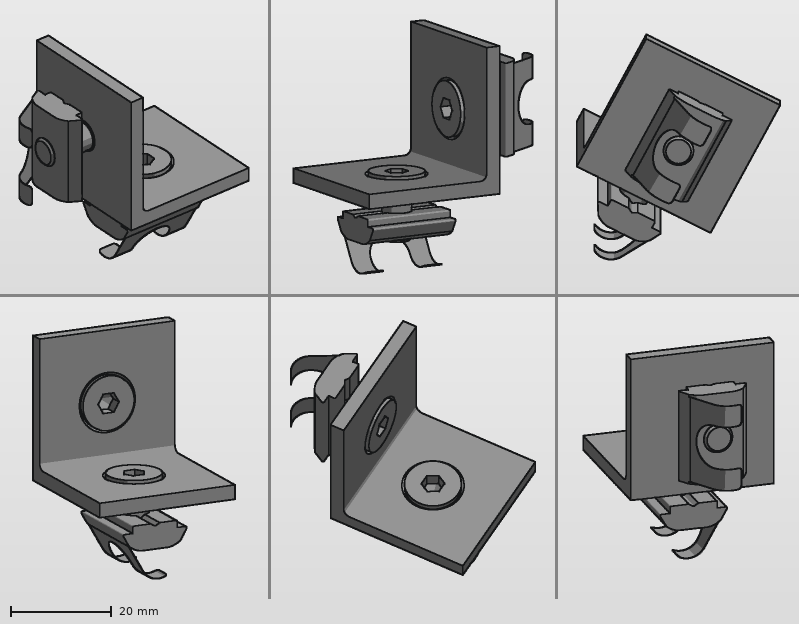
import cadquery as cq
import math

bracket_size = 30.0
leg_thickness = 3.0
inner_fillet = 1.5
leg_middle = bracket_size / 2

clearance_diameter = 6.6
countersink_diameter = 12.4
countersink_angle = 90.0

thread_diameter = 6.0
screw_length = 14.0
head_diameter = 11.34
head_protrusion = 0.58
head_cone_diameter = 13.44
tip_diameter = 5.0
hex_across_flats = 4.0
hex_depth = 2.5
socket_cone_angle = 120.0

thread_radius = thread_diameter / 2
head_radius = head_diameter / 2
tip_chamfer = (thread_diameter - tip_diameter) / 2
head_top = leg_thickness + head_protrusion
head_cylinder_height = (head_cone_diameter - head_diameter) / 2
head_height = (head_cone_diameter - thread_diameter) / 2

nut_length = 19.0
nut_top = -4.45
neck_height = 1.5
nut_shoulder = nut_top - neck_height
nut_bottom = -9.8
neck_half_width = 4.95
neck_fillet = 0.3
flange_half_width = 7.25
flange_fillet = 0.3
flank_angle = math.radians(60.0)
flank_end = -8.6
bottom_flat_half_width = 3.0
bottom_arc_radius = 5.0
groove_half_width = 1.0
groove_depth = 0.6
groove_fillet = 0.3

spring_length = 18.0
spring_thickness = 0.1
spring_start = -6.5
spring_bottom = -16.19
spring_curl_radius = 4.0
spring_end_x = -3.0
spring_gap = 9.0
spring_tip_fillet = 0.8


def flank_x(z):
    """Half width of the nut flank at height z."""
    return flange_half_width - (nut_shoulder - z) / math.tan(flank_angle)


def turn_to_wall(body):
    """Copy by a half turn about the bisector of the legs: swaps Y with Z and reverses X."""
    return body.rotate((0, 0, 0), (0, 1, 1), 180)


def make_bracket():
    leg = cq.Workplane("XY").box(
        bracket_size, bracket_size, leg_thickness, centered=(True, False, False)
    )
    angle = leg.union(turn_to_wall(leg))
    inner_corner = cq.NearestToPointSelector((0, leg_thickness, leg_thickness))
    angle = angle.edges("|X").edges(inner_corner).fillet(inner_fillet)
    hole = make_screw_hole()
    return angle.cut(hole).cut(turn_to_wall(hole))


def make_screw_hole():
    """Clearance hole with a countersink on the inner face of the lower leg."""
    sink_radius = countersink_diameter / 2
    hole_radius = clearance_diameter / 2
    sink_depth = (sink_radius - hole_radius) / math.tan(math.radians(countersink_angle / 2))
    hole = (
        cq.Workplane("XZ")
        .moveTo(0, 0)
        .lineTo(hole_radius, 0)
        .lineTo(hole_radius, leg_thickness - sink_depth)
        .lineTo(sink_radius, leg_thickness)
        .lineTo(0, leg_thickness)
        .close()
        .revolve(360, (0, 0, 0), (0, 1, 0))
    )
    return hole.translate((0, leg_middle, 0))


def make_screw():
    tip = head_top - screw_length
    screw = (
        cq.Workplane("XZ")
        .moveTo(0, head_top)
        .lineTo(head_radius, head_top)
        .lineTo(head_radius, head_top - head_cylinder_height)
        .lineTo(thread_radius, head_top - head_height)
        .lineTo(thread_radius, tip + tip_chamfer)
        .lineTo(tip_diameter / 2, tip)
        .lineTo(0, tip)
        .close()
        .revolve(360, (0, 0, 0), (0, 1, 0))
    )
    return screw.cut(make_socket()).translate((0, leg_middle, 0))


def make_socket():
    """Hexagonal socket with a conical bottom."""
    across_corners = hex_across_flats / math.cos(math.pi / 6)
    corner_radius = across_corners / 2
    cone_depth = corner_radius / math.tan(math.radians(socket_cone_angle / 2))
    hexagon = (
        cq.Workplane("XY", origin=(0, 0, head_top))
        .polygon(6, across_corners)
        .extrude(-hex_depth - cone_depth)
    )
    drill = (
        cq.Workplane("XZ", origin=(0, 0, head_top))
        .moveTo(0, 0)
        .lineTo(corner_radius, 0)
        .lineTo(corner_radius, -hex_depth)
        .lineTo(0, -hex_depth - cone_depth)
        .close()
        .revolve(360, (0, 0, 0), (0, 1, 0))
    )
    return hexagon.intersect(drill)


def make_nut_block():
    block = (
        cq.Workplane("XZ")
        .moveTo(groove_half_width, nut_top)
        .lineTo(neck_half_width, nut_top)
        .lineTo(neck_half_width, nut_shoulder)
        .lineTo(flange_half_width, nut_shoulder)
        .lineTo(flank_x(flank_end), flank_end)
        .radiusArc((bottom_flat_half_width, nut_bottom), bottom_arc_radius)
        .lineTo(-bottom_flat_half_width, nut_bottom)
        .radiusArc((-flank_x(flank_end), flank_end), bottom_arc_radius)
        .lineTo(-flange_half_width, nut_shoulder)
        .lineTo(-neck_half_width, nut_shoulder)
        .lineTo(-neck_half_width, nut_top)
        .lineTo(-groove_half_width, nut_top)
        .lineTo(0, nut_top - groove_depth)
        .close()
        .extrude(nut_length / 2, both=True)
    )
    block = round_long_edge(block, 0, nut_top - groove_depth, groove_fillet)
    for side in (-1, 1):
        block = round_long_edge(block, side * neck_half_width, nut_top, neck_fillet)
        block = round_long_edge(block, side * flange_half_width, nut_shoulder, flange_fillet)
    return block


def round_long_edge(body, x, z, radius):
    edge = cq.NearestToPointSelector((x, 0, z))
    return body.edges("|Y").edges(edge).fillet(radius)


def make_spring():
    down = (-math.cos(flank_angle), -math.sin(flank_angle))
    inward = (-math.sin(flank_angle), math.cos(flank_angle))

    centre_z = spring_bottom + spring_curl_radius
    bend_z = centre_z - spring_curl_radius * inward[1]
    bend_x = flank_x(bend_z)
    centre_x = bend_x + spring_curl_radius * inward[0]
    start_x = flank_x(spring_start)
    inner_radius = spring_curl_radius - spring_thickness
    end_angle = math.acos((spring_end_x - centre_x) / spring_curl_radius)

    def curl_point(radius, angle):
        return (centre_x + radius * math.cos(angle), centre_z - radius * math.sin(angle))

    def inner(x, z):
        return (x + spring_thickness * inward[0], z + spring_thickness * inward[1])

    lowest = math.pi / 2
    strip = (
        cq.Workplane("XZ")
        .moveTo(start_x, spring_start)
        .lineTo(bend_x, bend_z)
        .threePointArc(
            curl_point(spring_curl_radius, lowest), curl_point(spring_curl_radius, end_angle)
        )
        .lineTo(*curl_point(inner_radius, end_angle))
        .threePointArc(curl_point(inner_radius, lowest), inner(bend_x, bend_z))
        .lineTo(*inner(start_x, spring_start))
        .close()
        .extrude(spring_length / 2, both=True)
    )

    opening_plane = cq.Plane(
        origin=(bend_x, 0, bend_z), xDir=(down[0], 0, down[1]), normal=(inward[0], 0, inward[1])
    )
    opening_reach = 2 * spring_curl_radius
    half_gap = spring_gap / 2
    opening = (
        cq.Workplane(opening_plane)
        .moveTo(opening_reach, half_gap)
        .lineTo(0, half_gap)
        .threePointArc((-half_gap, 0), (0, -half_gap))
        .lineTo(opening_reach, -half_gap)
        .close()
        .extrude(opening_reach, both=True)
    )
    strip = strip.cut(opening)

    tip_x, tip_z = curl_point(spring_curl_radius - spring_thickness / 2, end_angle)
    tip_edges = strip.edges(cq.selectors.BoxSelector(
        (tip_x - spring_thickness, -spring_length, tip_z - spring_thickness),
        (tip_x + spring_thickness, spring_length, tip_z + spring_thickness),
    ))
    corners = tip_edges.filter(lambda edge: edge.Length() < 2 * spring_thickness)
    return corners.fillet(spring_tip_fillet)


def make_nut():
    hole = cq.Workplane("XY").circle(thread_radius).extrude(nut_bottom)
    block = make_nut_block().cut(hole)
    nut = block.union(make_spring(), clean=False)
    return nut.translate((0, leg_middle, 0))


bracket = make_bracket()
bodies = [bracket.val()]

for make_body in (make_screw, make_nut):
    lower_body = make_body()
    wall_body = turn_to_wall(lower_body)
    bodies += [lower_body.val(), wall_body.val()]

result = cq.Compound.makeCompound(bodies)